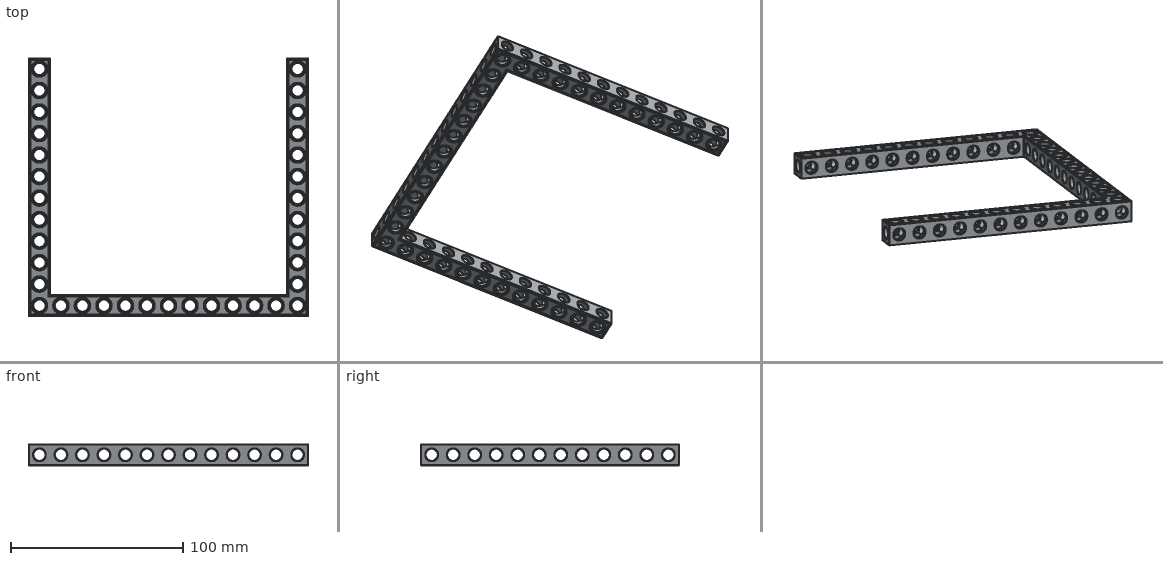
import cadquery as cq

length_x = 162.5
holes_along_x = 13
holes_along_y = 12
chamfer_size = 0.3

hole_diameter = 7.0
ring_diameter = 9.3

rim_width = 1.1
recess_depth = 0.2

pitch = length_x / holes_along_x
bar = pitch
length_y = pitch * holes_along_y
grid_x = [(i + 0.5) * pitch for i in range(holes_along_x)]
grid_y = [(j + 0.5) * pitch for j in range(holes_along_y)]
arm_columns = (grid_x[0], grid_x[-1])
base_row = grid_y[0]

vertical_centres = [(x, base_row) for x in grid_x]
vertical_centres += [(x, y) for x in arm_columns for y in grid_y[1:]]


def u_shape(bottom, height, inset):
    """U-shaped slab whose outline is moved inwards by inset on every side."""
    near = inset
    inner = bar - inset
    right = length_x - inset
    inner_right = length_x - bar + inset
    back = length_y - inset
    points = [
        (near, near),
        (right, near),
        (right, back),
        (inner_right, back),
        (inner_right, inner),
        (inner, inner),
        (inner, back),
        (near, back),
    ]
    return cq.Workplane("XY").workplane(offset=bottom).polyline(points).close().extrude(height)


def recess(bottom):
    """Recess cutter that leaves a rim along the edges and a ring around each hole."""
    rings = (
        cq.Workplane("XY")
        .workplane(offset=bottom)
        .pushPoints(vertical_centres)
        .circle(ring_diameter / 2)
        .extrude(recess_depth)
    )
    return u_shape(bottom, recess_depth, rim_width).cut(rings)


def drill(start, direction, length):
    """Cutter for a through hole with a chamfer at both mouths."""
    radius = hole_diameter / 2
    mouth_radius = radius + chamfer_size
    start = cq.Vector(*start)
    direction = cq.Vector(*direction)
    end = start + direction * length
    hole = cq.Solid.makeCylinder(radius, length, start, direction)
    entry = cq.Solid.makeCone(mouth_radius, radius, chamfer_size, start, direction)
    leave = cq.Solid.makeCone(mouth_radius, radius, chamfer_size, end, direction * -1)
    return hole.fuse(entry, leave)


def vertical_drills():
    """Holes along Z through every grid point of the frame."""
    return [drill((x, y, 0), (0, 0, 1), bar) for x, y in vertical_centres]


def drills_along_x():
    """Holes across both arms, and one lengthwise through the base bar."""
    middle = bar / 2
    cutters = [drill((0, base_row, middle), (1, 0, 0), length_x)]
    for y in grid_y[1:]:
        for arm_start in (0, length_x - bar):
            cutters.append(drill((arm_start, y, middle), (1, 0, 0), bar))
    return cutters


def drills_along_y():
    """Holes across the base bar, and one lengthwise through each arm."""
    cutters = []
    for x in grid_x:
        depth = length_y if x in arm_columns else bar
        cutters.append(drill((x, 0, bar / 2), (0, 1, 0), depth))
    return cutters


result = u_shape(0, bar, 0).edges().chamfer(chamfer_size)
for recess_bottom in (0, bar - recess_depth):
    result = result.cut(recess(recess_bottom))
for cutter in vertical_drills() + drills_along_x() + drills_along_y():
    result = result.cut(cq.Workplane(cutter))